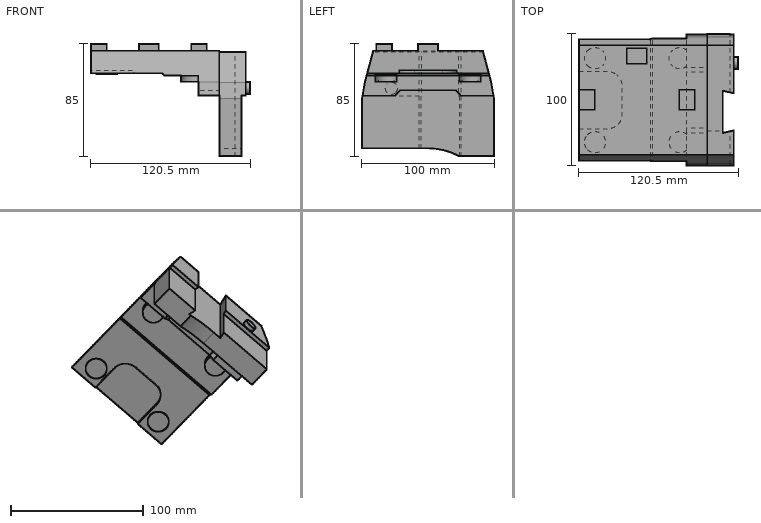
import cadquery as cq

overall_height = 85.0
plate_top = 79.9
head_top = 78.9
plate_underside = 62.7
thick_underside = 60.9
plate_kink = 56.2
head_kink = 55.8
shoulder_bottom = 45.8
leg_side_top = 43.9

overall_length = 120.5
step_start = 53.9
step_end = step_start + plate_underside - thick_underside
shoulder_start = 81.3
plate_length = 97.2
leg_back = 114.1
head_back = 117.2

top_half_width = 41.6
kink_half_width = 47.8
leg_half_width = 50.0
side_slope = (leg_half_width - kink_half_width) / (head_kink - leg_side_top)
shoulder_half_width = kink_half_width + side_slope * (head_kink - shoulder_bottom)

pad_long = 15.2
pad_short = 12.0
pads = [
    (0, 0, pad_short, pad_long),
    (36.3, 33.3, pad_long, pad_short),
    (75.8, 0, pad_short, pad_long),
]

foot_diameter = 16.0
foot_half_spacing = 31.8
front_foot_x = 11.9
rear_foot_x = 76.0
front_foot_bottom = 61.8
rear_foot_bottom = 56.2

pocket_length = 32.5
pocket_half_width = 21.7
pocket_height = 2.4
pocket_corner_radius = 11.1

channel_top = 49.8
channel_top_half_width = 21.2
channel_mouth_half_width = 24.8

leg_high_bottom = 5.8
curve_end_y = -23.3

slot_floor_x = 108.9
slot_center_y = -9.0
slot_floor_half_width = 15.9
slot_mouth_half_width = 14.0

pin_diameter = 9.3
pin_y = 28.0
pin_z = 51.5


def symmetric_prism(half_outline, x_start, x_end):
    """Extrude along X an outline given by its (+y, z) points, mirrored about y = 0."""
    mirrored = [(-y, z) for y, z in reversed(half_outline)]
    plane = cq.Workplane("YZ", origin=(x_start, 0, 0))
    return plane.polyline(half_outline + mirrored).close().extrude(x_end - x_start)


def make_plate():
    """Tapered plate, stepped thicker towards the rear, with a deep shoulder."""
    cross_section = [
        (top_half_width, plate_top),
        (kink_half_width, plate_kink),
        (shoulder_half_width, shoulder_bottom),
    ]
    side_outline = [
        (0, plate_top),
        (plate_length, plate_top),
        (plate_length, shoulder_bottom),
        (shoulder_start, shoulder_bottom),
        (shoulder_start, thick_underside),
        (step_end, thick_underside),
        (step_start, plate_underside),
        (0, plate_underside),
    ]
    taper = symmetric_prism(cross_section, 0, plate_length)
    side = cq.Workplane("XZ").polyline(side_outline).close().extrude(leg_half_width, both=True)
    channel = symmetric_prism(
        [(channel_top_half_width, channel_top), (channel_mouth_half_width, shoulder_bottom)],
        shoulder_start,
        plate_length,
    )
    return taper.intersect(side).cut(channel)


def make_end_pocket():
    """Shallow pocket open at the free end, with rounded inner corners."""
    return (
        cq.Workplane("XY", origin=(0, 0, plate_underside))
        .rect(2 * pocket_length, 2 * pocket_half_width)
        .extrude(pocket_height)
        .edges("|Z")
        .fillet(pocket_corner_radius)
    )


def make_head():
    """Full-thickness part of the upright."""
    cross_section = [
        (top_half_width, head_top),
        (kink_half_width, head_kink),
        (shoulder_half_width, shoulder_bottom),
    ]
    return symmetric_prism(cross_section, plate_length, head_back)


def make_leg():
    """Thinner lower part of the upright, with a curved step in its bottom edge."""
    drop = leg_high_bottom
    curve_radius = (curve_end_y**2 + drop**2) / (2 * drop)
    curve_mid_y = curve_end_y / 2
    curve_mid_z = drop - curve_radius + (curve_radius**2 - curve_mid_y**2) ** 0.5
    return (
        cq.Workplane("YZ", origin=(plate_length, 0, 0))
        .moveTo(leg_half_width, leg_high_bottom)
        .lineTo(0, leg_high_bottom)
        .threePointArc((curve_mid_y, curve_mid_z), (curve_end_y, 0))
        .lineTo(-leg_half_width, 0)
        .lineTo(-leg_half_width, leg_side_top)
        .lineTo(-shoulder_half_width, shoulder_bottom)
        .lineTo(shoulder_half_width, shoulder_bottom)
        .lineTo(leg_half_width, leg_side_top)
        .close()
        .extrude(leg_back - plate_length)
    )


def make_dovetail_slot():
    """Slot running the full height of the upright, wider at its floor."""
    outline = [
        (slot_floor_x, slot_center_y + slot_floor_half_width),
        (head_back, slot_center_y + slot_mouth_half_width),
        (head_back, slot_center_y - slot_mouth_half_width),
        (slot_floor_x, slot_center_y - slot_floor_half_width),
    ]
    return cq.Workplane("XY").polyline(outline).close().extrude(overall_height)


def make_pads():
    """Rectangular locating pads on the plate."""
    solids = cq.Workplane("XY")
    for x_start, y_center, x_size, y_size in pads:
        pad = (
            cq.Workplane("XY", origin=(x_start + x_size / 2, y_center, plate_top))
            .rect(x_size, y_size)
            .extrude(overall_height - plate_top)
        )
        solids = solids.add(pad)
    return solids.combine()


def make_feet(x, bottom, top):
    """Pair of round feet, one on each side."""
    return (
        cq.Workplane("XY", origin=(x, 0, bottom))
        .pushPoints([(0, foot_half_spacing), (0, -foot_half_spacing)])
        .circle(foot_diameter / 2)
        .extrude(top - bottom)
    )


def make_pin():
    """Round pin standing out of the back face."""
    return (
        cq.Workplane("YZ", origin=(head_back, pin_y, pin_z))
        .circle(pin_diameter / 2)
        .extrude(overall_length - head_back)
    )


plate = make_plate().cut(make_end_pocket())
upright = make_head().union(make_leg()).cut(make_dovetail_slot())
result = (
    plate.union(upright)
    .union(make_pads())
    .union(make_feet(front_foot_x, front_foot_bottom, plate_underside))
    .union(make_feet(rear_foot_x, rear_foot_bottom, thick_underside))
    .union(make_pin())
    .clean()
)